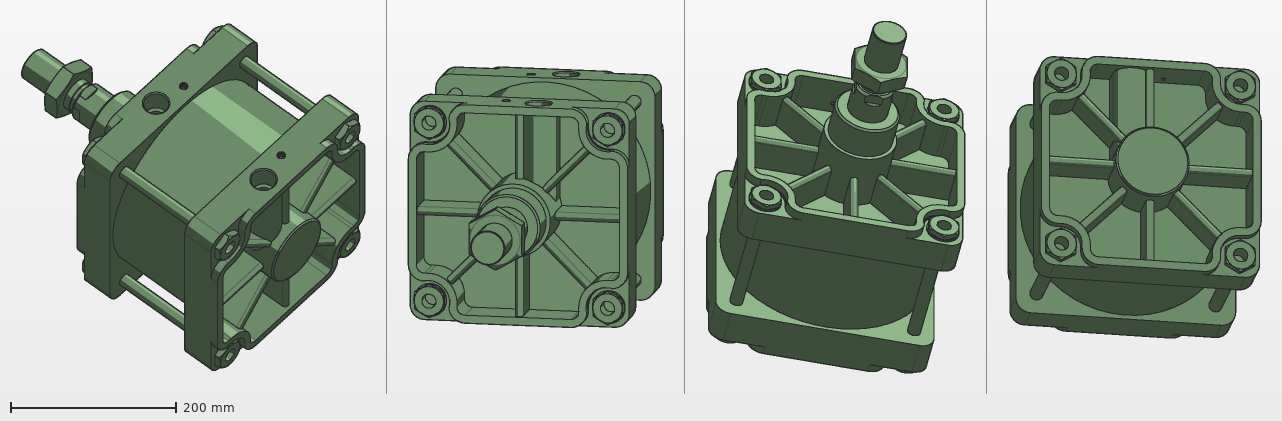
import cadquery as cq
import math


front_head_x = 190.5
head_thickness = 53.0
barrel_length = 120.0
barrel_x = front_head_x + head_thickness
rear_inner_x = barrel_x + barrel_length
rear_face_x = rear_inner_x + head_thickness
rear_boss_height = 9.5

head_size = 270.0
half_head = head_size / 2
corner_radius = 18.0
wall = 10.0
cavity_depth = 48.0
hub_diameter = 90.0

rod_inset = 25.0
pocket_radius = 25.0
flare_radius = 20.0
flare_end = rod_inset + pocket_radius + flare_radius
washer_thickness = 2.5
front_pocket_depth = 11.5
spotface_diameter = 52.0
spotface_depth = front_pocket_depth - washer_thickness
rear_pocket_depth = 10.5

rib_width = 10.0
rib_setback = 5.0
rib_count = 8

port_y = -20.5
port_depth_x = head_thickness / 2
port_boss_radius = 22.0
port_diameter = 30.29
port_mouth_diameter = 33.25
port_thread_depth = 30.0
port_passage_diameter = 20.0
screw_y = 21.0
screw_depth_x = 34.5
screw_hole_diameter = 10.0
screw_hole_depth = 1.5
screw_recess_diameter = 7.6
screw_recess_depth = 3.0
screw_socket_diameter = 5.2
screw_socket_depth = 6.0
screw_tip_diameter = 5.2
screw_tip_drop = 1.0

barrel_diameter = 260.0
barrel_bore = 240.0
tie_rod_diameter = 16.0
tie_rod_offset = half_head - rod_inset

nut_width = 36.0
front_nut_chamfer = 1.0
rear_nut_chamfer = 2.5
washer_diameter = 40.0
front_nut_recess = 2.3
rear_nut_recess = 1.5
nut_bore_diameter = 17.29
nut_bore_depth = 25.0

collar_x = 165.0
nose_x = 124.0
nose_diameter = 80.0
nose_chamfer = 2.5
rear_boss_chamfer = 2.0

rod_diameter = 50.0
thread_diameter = 42.0
thread_end_x = 77.0
thread_chamfer = 1.0
undercut_diameter = 38.0
rod_shoulder_x = 83.0
shoulder_chamfer = 3.0
flats_width = 45.0
flats_end_x = 95.2
lock_nut_x = 47.5
lock_nut_thickness = 21.0
lock_nut_width = 65.0
lock_nut_chamfer_circle = 0.95 * lock_nut_width
lock_nut_chamfer = 1.8


def cylinder_x(diameter, x_start, x_end):
    """Cylinder on the main axis between two X positions."""
    return cq.Workplane("YZ").workplane(offset=x_start).circle(diameter / 2).extrude(x_end - x_start)


def hexagon_x(width, x_start, x_end, flat_circle, chamfer, chamfered_faces):
    """Hexagon along X, corners up and down, its end corners turned down to flat_circle."""
    corners = width / math.cos(math.pi / 6)
    prism = (
        cq.Workplane("YZ")
        .workplane(offset=x_start)
        .transformed(rotate=(0, 0, 90))
        .polygon(6, corners)
        .extrude(x_end - x_start)
    )
    turned = cylinder_x(corners, x_start, x_end)
    turned = turned.faces(chamfered_faces).chamfer(chamfer, (corners - flat_circle) / 2)
    return prism.intersect(turned)


def quarter_turns(shape):
    """Four copies of a shape, turned about the main axis in steps of 90 degrees."""
    return [shape.rotate((0, 0, 0), (1, 0, 0), 90 * turn) for turn in range(4)]


def on_tie_rods(shape):
    """Four copies of a shape made on the main axis, moved to the tie rod axes."""
    offsets = (-tie_rod_offset, tie_rod_offset)
    return [shape.translate((0, y, z)) for y in offsets for z in offsets]


def corner_block(inset, depth):
    """Corner area bounded by an arc about the tie rod and two flares, moved inward by inset."""
    arc = pocket_radius + inset
    flare = flare_radius - inset
    diagonal = math.sqrt(0.5)
    far = rod_inset + arc
    flare_mid = flare * diagonal
    profile = (
        cq.Workplane("YZ")
        .moveTo(inset, inset)
        .lineTo(flare_end, inset)
        .threePointArc((flare_end - flare_mid, flare_radius - flare_mid), (far, flare_radius))
        .lineTo(far, rod_inset)
        .threePointArc((rod_inset + arc * diagonal, rod_inset + arc * diagonal), (rod_inset, far))
        .lineTo(flare_radius, far)
        .threePointArc((flare_radius - flare_mid, flare_end - flare_mid), (inset, flare_end))
        .close()
    )
    block = profile.extrude(depth)
    return block.rotate((0, 0, 0), (1, 0, 0), 180).translate((0, half_head, half_head))


def head_ribs():
    """Spokes with full-round front edges, from the main axis to the cavity wall."""
    reach = half_head - wall / 2
    round_x = rib_setback + rib_width / 2
    web = cq.Workplane("XY").box(cavity_depth - round_x, reach, rib_width, centered=(False, False, True))
    front_edge = cq.Workplane("XZ", origin=(round_x, 0, 0)).circle(rib_width / 2).extrude(-reach)
    spoke = web.translate((round_x, 0, 0)).union(front_edge)
    return [spoke.rotate((0, 0, 0), (1, 0, 0), index * 360 / rib_count) for index in range(rib_count)]


def port_boss():
    """U-shaped boss around the port, from the main axis up to the top wall."""
    height = half_head - wall / 2
    round_part = cq.Workplane("XY").center(port_depth_x, port_y).circle(port_boss_radius).extrude(height)
    back_part = cq.Workplane("XY").box(
        cavity_depth - port_depth_x, 2 * port_boss_radius, height, centered=(False, True, False)
    )
    return round_part.union(back_part.translate((port_depth_x, port_y, 0)))


def port_cutter():
    """Threaded port with a conical mouth and a flat-bottomed passage to the main axis."""
    mouth = (port_mouth_diameter - port_diameter) / 2
    top = cq.Workplane("XY", origin=(port_depth_x, port_y, half_head))
    thread = top.circle(port_diameter / 2).extrude(-port_thread_depth)
    cone = top.circle(port_mouth_diameter / 2).extrude(-mouth, taper=45)
    passage = top.circle(port_passage_diameter / 2).extrude(-half_head)
    return thread.union(cone).union(passage)


def add_screw(body):
    """Cushion screw: a stepped recess in the top wall and a tip standing out below the wall."""
    top = cq.Workplane("XY", origin=(screw_depth_x, screw_y, half_head))
    tip = top.circle(screw_tip_diameter / 2).extrude(-wall - screw_tip_drop)
    hole = top.circle(screw_hole_diameter / 2).extrude(-screw_hole_depth)
    recess = top.circle(screw_recess_diameter / 2).extrude(-screw_recess_depth)
    socket = top.circle(screw_socket_diameter / 2).extrude(-screw_socket_depth)
    return body.union(tip).cut(hole).cut(recess).cut(socket)


def head(pocket_depth):
    """Cylinder head with its outer face at X = 0 and its inner face at X = head_thickness."""
    body = cq.Workplane("YZ").rect(head_size, head_size).extrude(head_thickness)
    body = body.edges("|X").fillet(corner_radius)

    cavity_size = head_size - 2 * wall
    cavity = cq.Workplane("YZ").rect(cavity_size, cavity_size).extrude(cavity_depth)
    for post in quarter_turns(corner_block(wall, cavity_depth)):
        cavity = cavity.cut(post)

    body = body.cut(cavity)
    for rib in head_ribs():
        body = body.union(rib.intersect(cavity))
    body = body.union(port_boss())
    body = body.union(cylinder_x(hub_diameter, 0, head_thickness))
    for pocket in quarter_turns(corner_block(0, pocket_depth)):
        body = body.cut(pocket)

    body = add_screw(body)
    body = body.cut(port_cutter())
    return body.cut(cylinder_x(rod_diameter, port_depth_x, head_thickness))


def add_tie_rod_nuts(body, nut):
    """Seat a nut in each corner pocket and bore it on the tie rod axis."""
    for placed_nut in on_tie_rods(nut):
        body = body.union(placed_nut)
    for bore in on_tie_rods(cylinder_x(nut_bore_diameter, 0, nut_bore_depth)):
        body = body.cut(bore)
    return body


def make_front_head():
    body = head(front_pocket_depth)
    for spotface in on_tie_rods(cylinder_x(spotface_diameter, 0, spotface_depth)):
        body = body.cut(spotface)
    nut = hexagon_x(nut_width, front_nut_recess, spotface_depth, nut_width, front_nut_chamfer, "<X")
    washer = cylinder_x(washer_diameter, spotface_depth, front_pocket_depth)
    return add_tie_rod_nuts(body, nut.union(washer)).translate((front_head_x, 0, 0))


def make_rear_head():
    nut = hexagon_x(nut_width, rear_nut_recess, rear_pocket_depth, nut_width, rear_nut_chamfer, "<X")
    body = add_tie_rod_nuts(head(rear_pocket_depth), nut)
    return body.mirror("YZ").translate((rear_face_x, 0, 0))


def make_housing():
    """Both heads with nose and rear boss, the barrel and the tie rods as one solid."""
    nose = cylinder_x(nose_diameter, nose_x, collar_x).faces("<X").chamfer(nose_chamfer)
    collar = cylinder_x(hub_diameter, collar_x, front_head_x)
    rear_boss = cylinder_x(hub_diameter, rear_face_x, rear_face_x + rear_boss_height)
    rear_boss = rear_boss.faces(">X").chamfer(rear_boss_chamfer)
    barrel = cylinder_x(barrel_diameter, barrel_x, rear_inner_x)
    barrel = barrel.cut(cylinder_x(barrel_bore, barrel_x, rear_inner_x))

    body = make_front_head().union(nose).union(collar).union(barrel)
    body = body.union(make_rear_head()).union(rear_boss)
    for tie_rod in on_tie_rods(cylinder_x(tie_rod_diameter, barrel_x, rear_inner_x)):
        body = body.union(tie_rod)
    return body.cut(cylinder_x(rod_diameter, nose_x, barrel_x))


def make_piston_rod():
    """Threaded rod with wrench flats and its lock nut as one solid."""
    thread = cylinder_x(thread_diameter, 0, thread_end_x).faces("<X").chamfer(thread_chamfer)
    undercut = cylinder_x(undercut_diameter, thread_end_x, rod_shoulder_x)
    shaft = cylinder_x(rod_diameter, rod_shoulder_x, rear_inner_x).faces("<X").chamfer(shoulder_chamfer)

    flat_depth = (rod_diameter - flats_width) / 2
    flat = (
        cq.Workplane("XZ")
        .moveTo(rod_shoulder_x, flats_width / 2)
        .lineTo(flats_end_x, flats_width / 2)
        .lineTo(flats_end_x + flat_depth, rod_diameter / 2)
        .lineTo(rod_shoulder_x, rod_diameter / 2)
        .close()
        .extrude(rod_diameter / 2, both=True)
    )
    for cutter in quarter_turns(flat):
        shaft = shaft.cut(cutter)

    lock_nut = hexagon_x(
        lock_nut_width,
        lock_nut_x,
        lock_nut_x + lock_nut_thickness,
        lock_nut_chamfer_circle,
        lock_nut_chamfer,
        "|X",
    )
    return thread.union(undercut).union(shaft).union(lock_nut)


housing = make_housing()
piston_rod = make_piston_rod()
result = cq.Compound.makeCompound([housing.val(), piston_rod.val()])